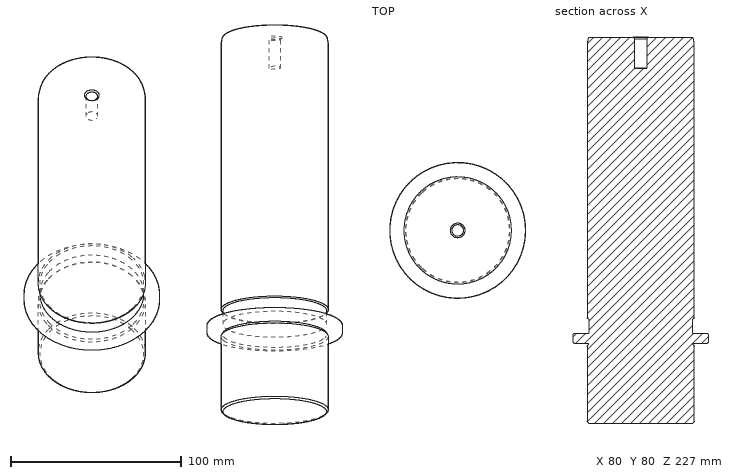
import cadquery as cq
import math

total_height = 227.0
flange_bottom = 47.0
flange_thickness = 6.1
groove_height = 8.9
flange_top = flange_bottom + flange_thickness
groove_top = flange_top + groove_height

body_radius = 63.0 / 2
flange_radius = 80.0 / 2
groove_radius = 61.0 / 2

edge_chamfer = 1.1
edge_round = 1.1
shoulder_height = 0.7
lead_in_length = 3.6
lead_in_inset = 0.5
relief_height = 1.4
relief_inset = 1.0

hole_radius = 6.8 / 2
hole_depth = 18.2
countersink_radius = 8.6 / 2


def turned_body():
    """Revolve the stepped half profile about the Z axis."""
    lead_in_radius = body_radius - lead_in_inset
    relief_radius = body_radius - relief_inset
    arc_inset = edge_round * (1 - math.sqrt(0.5))
    profile = (
        cq.Workplane("XZ")
        .lineTo(body_radius - edge_chamfer, 0)
        .lineTo(body_radius, edge_chamfer)
        .lineTo(body_radius, flange_bottom - relief_height)
        .lineTo(relief_radius, flange_bottom)
        .lineTo(flange_radius - edge_round, flange_bottom)
        .threePointArc(
            (flange_radius - arc_inset, flange_bottom + arc_inset),
            (flange_radius, flange_bottom + edge_round),
        )
        .lineTo(flange_radius, flange_top - edge_round)
        .threePointArc(
            (flange_radius - arc_inset, flange_top - arc_inset),
            (flange_radius - edge_round, flange_top),
        )
        .lineTo(groove_radius, flange_top)
        .lineTo(groove_radius, groove_top - shoulder_height)
        .lineTo(body_radius, groove_top)
        .lineTo(body_radius, total_height - lead_in_length)
        .lineTo(lead_in_radius, total_height - edge_round)
        .threePointArc(
            (lead_in_radius - arc_inset, total_height - arc_inset),
            (lead_in_radius - edge_round, total_height),
        )
        .lineTo(0, total_height)
        .close()
    )
    return profile.revolve(360, (0, 0), (0, 1))


def centre_hole():
    """Flat-bottomed blind hole with a 45 degree countersink."""
    countersink_depth = countersink_radius - hole_radius
    profile = [
        (0, total_height - hole_depth),
        (hole_radius, total_height - hole_depth),
        (hole_radius, total_height - countersink_depth),
        (countersink_radius, total_height),
        (0, total_height),
    ]
    return cq.Workplane("XZ").polyline(profile).close().revolve(360, (0, 0), (0, 1))


result = turned_body().cut(centre_hole())